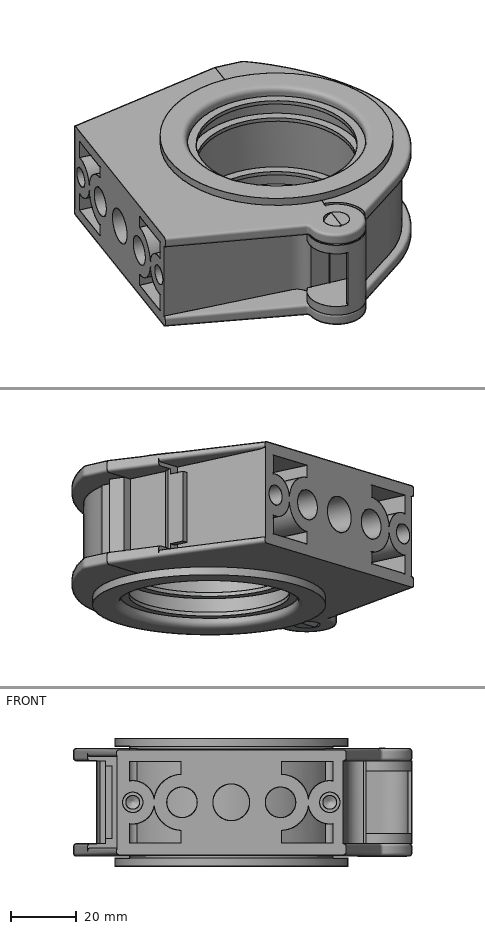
import cadquery as cq
import math

half_width = 48.0
front_half_width = 35.0
front_y = -52.0
crown_radius = 41.0
crown_line_angle = 40.5
shoulder_angle = 118.0
shoulder_radius = 76.0
shoulder_corner_radius = 3.0

plate_inner_z = 12.6
plate_z_parting = 16.4
plate_z_end = 16.0
plate_edge_radius = 0.9
thin_plate_z = 13.9

hinge_x = 46.0
ear_radius = 9.0
ear_clearance = 0.5
ear_neck_radius = 1.0
peg_radius = 4.0
peg_bevel_drop = 2.0
hinge_pocket_radius = 7.8
hinge_pocket_z = 9.5
knuckle_left_x = 41.0

bushing_radius = 31.0
bushing_half_height = 19.5
flange_radius = 35.5
flange_inner_z = 17.0
bore_radius = 24.5
recess_radius = 27.2
rim_radius = 28.9
lip_top_z = 16.5
lip_bottom_z = 15.3
groove_floor_z = 10.3
middle_recess_z = 9.1

core_radius = 38.2
block_left_x = -34.8
block_right_x = 34.0
block_right_corner_x = 35.7
block_y = -17.0
wall_left_x = -37.1
wall_right_x = 40.2
wall_right_y = -6.0
hook_x = -38.3
hook_start_y = -14.0
hook_tip_y = -16.0
tongue_x = -36.3
tongue_y = -22.0
tongue_z = 11.0

lid_block_x = -41.0
lid_block_bottom_x = -40.0
lid_block_y = 5.0
lid_step_x = -37.0
lid_step_y = 11.3
lid_cylinder_y = 12.9

center_hole_radius = 5.6
side_hole_x = 15.0
side_hole_radius = 4.65
screw_x = 30.0
screw_radius = 2.1
screw_depth = 22.0
screw_tip_length = 1.2
counterbore_radius = 3.1
counterbore_depth = 10.0
pocket_inner_x = 15.3
pocket_outer_x = 31.0
pocket_z = 12.4
pocket_floor_y = -17.0
pocket_floor_radius = 33.4
side_boss_radius = 8.55
screw_boss_radius = 6.6
pocket_corner_radius = 2.2


def polar(radius, degrees):
    angle = math.radians(degrees)
    return (radius * math.cos(angle), radius * math.sin(angle))


def disc(radius, bottom_z, top_z, center_x=0.0):
    return cq.Workplane("XY", origin=(center_x, 0, bottom_z)).circle(radius).extrude(top_z - bottom_z)


def block(x_range, y_range, z_range):
    size = [high - low for low, high in (x_range, y_range, z_range)]
    corner = (x_range[0], y_range[0], z_range[0])
    return cq.Workplane("XY").box(*size, centered=False).translate(corner)


def sloped_envelope(top_line):
    """Full-width prism below a line of (y, z) points, used to draft a plate."""
    feet = [(top_line[-1][0], 0), (top_line[0][0], 0)]
    return (
        cq.Workplane("YZ", origin=(-2 * half_width, 0, 0))
        .polyline(top_line + feet)
        .close()
        .extrude(4 * half_width)
    )


def follows_outline(edge):
    """True for edges along the outline, false for uprights and edges straight along X."""
    along_outline = edge.BoundingBox().ylen > plate_edge_radius
    upright = edge.BoundingBox().zlen > plate_edge_radius
    return along_outline and not upright


def rounded(plate):
    return plate.edges("not |Z").filter(follows_outline).fillet(plate_edge_radius)


def both_sides(plate):
    return plate.union(plate.mirror("XY"))


def bushing_cavity_steps():
    """Radius and top height of each bore step, from the middle upward."""
    return [
        (recess_radius, middle_recess_z),
        (bore_radius, groove_floor_z),
        (recess_radius, lip_bottom_z),
        (bore_radius, lip_top_z),
        (recess_radius, bushing_half_height),
    ]


def make_bushing():
    bushing = disc(bushing_radius, -bushing_half_height, bushing_half_height)
    for bottom_z in (-bushing_half_height, flange_inner_z):
        flange_thickness = bushing_half_height - flange_inner_z
        bushing = bushing.union(disc(flange_radius, bottom_z, bottom_z + flange_thickness))
    bottom_z = 0
    for radius, top_z in bushing_cavity_steps():
        bushing = bushing.cut(disc(radius, bottom_z, top_z))
        bushing = bushing.cut(disc(radius, -top_z, -bottom_z))
        bottom_z = top_z
    rim_edges = bushing.faces("<Z or >Z").edges("%CIRCLE").filter(
        lambda edge: edge.radius() < bushing_radius
    )
    return rim_edges.fillet(rim_radius - recess_radius)


def base_slab(bottom_z, top_z):
    """Trapezoid narrowing towards the mounting face, with the hinge ear blended in."""
    slab = (
        cq.Workplane("XY", origin=(0, 0, bottom_z))
        .polyline([
            (-half_width, 0),
            (-front_half_width, front_y),
            (front_half_width, front_y),
            (half_width, 0),
        ])
        .close()
        .extrude(top_z - bottom_z)
    )
    slab = slab.union(disc(ear_radius, bottom_z, top_z, hinge_x))
    neck = cq.selectors.BoxSelector(
        (hinge_x - ear_radius, -ear_radius - ear_neck_radius, bottom_z),
        (hinge_x + ear_radius, -ear_radius / 2, top_z),
    )
    return slab.edges("|Z").edges(neck).fillet(ear_neck_radius)


def base_plate():
    """Thin outer slab, thickened on the inside except ahead of the latch."""
    blank_top_z = 2 * plate_z_parting
    slope = (plate_z_parting - plate_z_end) / -front_y
    outer_slab = base_slab(thin_plate_z, blank_top_z).intersect(
        sloped_envelope([
            (front_y, plate_z_end),
            (ear_radius, plate_z_parting + slope * ear_radius),
        ])
    )
    pad_top_z = thin_plate_z + plate_edge_radius
    pad = base_slab(plate_inner_z, pad_top_z)
    pad = pad.faces("<Z").edges().filter(follows_outline).fillet(plate_edge_radius)
    relief = block((-half_width, block_left_x), (front_y, block_y), (plate_inner_z, pad_top_z))
    return rounded(outer_slab).union(pad.cut(relief))


def base_core():
    corner_radius = wall_right_x - block_right_corner_x
    corner_center_y = wall_right_y - corner_radius
    offset_x, offset_y = polar(corner_radius, 135)
    wall = (
        cq.Workplane("XY", origin=(0, 0, -plate_inner_z))
        .moveTo(wall_left_x, 0)
        .lineTo(wall_left_x, hook_start_y)
        .lineTo(hook_x, hook_tip_y)
        .lineTo(hook_x, block_y)
        .lineTo(block_left_x, block_y)
        .lineTo(block_left_x, front_y)
        .lineTo(block_right_x, front_y)
        .lineTo(block_right_corner_x, corner_center_y)
        .threePointArc(
            (wall_right_x + offset_x, corner_center_y + offset_y),
            (wall_right_x, wall_right_y),
        )
        .lineTo(wall_right_x, 0)
        .close()
        .extrude(2 * plate_inner_z)
    )
    filler = block((block_left_x, 0), (front_y, block_y), (-thin_plate_z, thin_plate_z))
    tongue = block((hook_x, tongue_x), (tongue_y, block_y), (-tongue_z, tongue_z))
    return wall.union(filler).union(tongue)


def front_cylinder(x, radius, depth):
    return cq.Workplane("XZ", origin=(x, front_y, 0)).circle(radius).extrude(-depth)


def screw_hole(x):
    drill_profile = [
        (0, 0),
        (counterbore_radius, 0),
        (counterbore_radius, counterbore_depth),
        (screw_radius, counterbore_depth),
        (screw_radius, screw_depth),
        (0, screw_depth + screw_tip_length),
    ]
    drill = cq.Workplane("XY").polyline(drill_profile).close().revolve(360, (0, 0, 0), (0, 1, 0))
    return drill.translate((x, front_y, 0))


def corner_pockets(side):
    """Two pockets on one side, left between the bosses of the holes."""
    depth = pocket_floor_y - front_y
    center_x = side * (pocket_inner_x + pocket_outer_x) / 2
    pockets = (
        cq.Workplane("XZ", origin=(center_x, front_y, 0))
        .rect(pocket_outer_x - pocket_inner_x, 2 * pocket_z)
        .extrude(-depth)
    )
    outer_corner = cq.selectors.NearestToPointSelector((side * pocket_outer_x, pocket_floor_y, 0))
    pockets = pockets.edges("|Z").edges(outer_corner).fillet(pocket_corner_radius)
    pockets = pockets.cut(front_cylinder(side * side_hole_x, side_boss_radius, depth))
    pockets = pockets.cut(front_cylinder(side * screw_x, screw_boss_radius, depth))
    return pockets.cut(disc(pocket_floor_radius, -pocket_z, pocket_z))


def make_base():
    base = both_sides(base_plate()).union(base_core())
    base = base.cut(front_cylinder(0, center_hole_radius, -front_y))
    for side in (-1, 1):
        base = base.cut(front_cylinder(side * side_hole_x, side_hole_radius, -front_y))
        base = base.cut(screw_hole(side * screw_x))
        base = base.cut(corner_pockets(side))
    base = base.cut(disc(peg_radius, -plate_z_parting, plate_z_parting, hinge_x))
    return base.cut(disc(bushing_radius, -plate_z_parting, plate_z_parting))


def tangent_line_y(radius, x):
    """Height at x of the hinge-side straight tangent to a circle about the bore."""
    angle = math.radians(crown_line_angle)
    return (radius - x * math.cos(angle)) / math.sin(angle)


def lid_plate():
    center_x, center_y = polar(crown_radius - shoulder_radius, shoulder_angle)
    end_x = -half_width
    end_y = center_y + math.sqrt(shoulder_radius**2 - (end_x - center_x) ** 2)
    plate = (
        cq.Workplane("XY", origin=(0, 0, plate_inner_z))
        .moveTo(-half_width, 0)
        .lineTo(end_x, end_y)
        .radiusArc(polar(crown_radius, shoulder_angle), shoulder_radius)
        .threePointArc((0, crown_radius), polar(crown_radius, crown_line_angle))
        .lineTo(hinge_x, tangent_line_y(crown_radius, hinge_x))
        .lineTo(hinge_x, 0)
        .close()
        .extrude(plate_z_parting - plate_inner_z)
    )
    latch_corner = cq.selectors.NearestToPointSelector((end_x, end_y, plate_inner_z))
    plate = plate.edges("|Z").edges(latch_corner).fillet(shoulder_corner_radius)
    draft = sloped_envelope([(0, plate_z_parting), (crown_radius, plate_z_end)])
    plate = rounded(plate.intersect(draft))
    return plate.cut(disc(ear_radius + ear_clearance, plate_inner_z, plate_z_parting, hinge_x))


def lid_core():
    cylinder_x = -math.sqrt(core_radius**2 - lid_cylinder_y**2)
    return (
        cq.Workplane("XY", origin=(0, 0, -plate_inner_z))
        .moveTo(lid_block_bottom_x, 0)
        .lineTo(lid_block_x, lid_block_y)
        .lineTo(lid_step_x, lid_block_y)
        .lineTo(lid_step_x, lid_step_y)
        .lineTo(cylinder_x, lid_cylinder_y)
        .threePointArc((0, core_radius), polar(core_radius, crown_line_angle))
        .lineTo(hinge_x, tangent_line_y(core_radius, hinge_x))
        .lineTo(hinge_x, 0)
        .close()
        .extrude(2 * plate_inner_z)
    )


def knuckle():
    barrel = disc(ear_radius, -plate_inner_z, plate_inner_z, hinge_x)
    below_core = block(
        (hinge_x - ear_radius, knuckle_left_x), (-ear_radius, 0), (-plate_inner_z, plate_inner_z)
    )
    return barrel.cut(below_core)


def knuckle_pocket():
    """Open to the front, with a rounded back on the far side of the hinge axis."""
    z_range = (-hinge_pocket_z, hinge_pocket_z)
    rounded_back = disc(hinge_pocket_radius, *z_range, hinge_x)
    left_part = block((knuckle_left_x, hinge_x), (0, hinge_pocket_radius), z_range)
    front_part = block((knuckle_left_x, hinge_x + ear_radius), (-ear_radius, 0), z_range)
    right_of_left_wall = block(
        (knuckle_left_x, hinge_x + ear_radius), (-ear_radius, ear_radius), z_range
    )
    return rounded_back.intersect(right_of_left_wall).union(left_part).union(front_part)


def peg():
    """Snap-in hinge peg whose front half is bevelled."""
    post = disc(peg_radius, plate_inner_z, plate_z_parting, hinge_x)
    bevel = (
        cq.Workplane("YZ", origin=(hinge_x - peg_radius, 0, 0))
        .polyline([
            (0, plate_z_parting),
            (-peg_radius, plate_z_parting),
            (-peg_radius, plate_z_parting - peg_bevel_drop),
        ])
        .close()
        .extrude(2 * peg_radius)
    )
    return post.cut(bevel)


def make_lid():
    lid = both_sides(lid_plate()).union(lid_core()).union(knuckle())
    lid = lid.cut(knuckle_pocket())
    lid = lid.union(both_sides(peg()))
    return lid.cut(disc(bushing_radius, -plate_z_parting, plate_z_parting))


base = make_base()
lid = make_lid()
bushing = make_bushing()

result = cq.Compound.makeCompound([base.val(), lid.val(), bushing.val()])